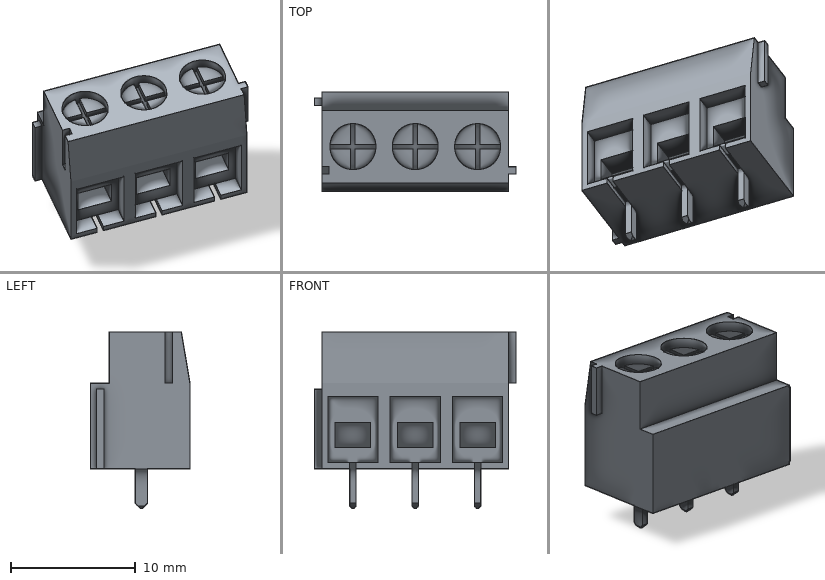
import cadquery as cq


pole_count = 3
pitch = 5.0
body_depth = 8.0
body_height = 11.0
shoulder_height = 6.88
front_slope_run = 0.7
rear_step_depth = 1.5
body_width = pole_count * pitch

overall_width = 16.2
rib_projection = (overall_width - body_width) / 2
rib_thickness = 0.62
front_rib_y = 1.4
rear_rib_y = 6.9
rear_rib_height = 6.4

entry_width = 4.03
entry_height = 5.33
entry_floor = 0.49
entry_depth = 1.35
window_width = 2.85
window_height = 2.0
window_floor = 1.72
window_depth = 2.02

screw_diameter = 3.7
screw_y = 3.61
screw_recess = 0.81
cross_slot_width = 0.37
cross_slot_depth = 0.5

pin_width = 0.53
pin_depth = 1.0
pin_y = 3.9
pin_length = 3.2
tip_side_chamfer = 0.21
tip_face_chamfer = 0.44

pole_centers = [(index + 0.5) * pitch for index in range(pole_count)]


def box(width, depth, height, corner):
    """Box with its lowest X, Y and Z at the given corner."""
    return cq.Workplane("XY").box(width, depth, height, centered=False).translate(corner)


def housing():
    """Side profile with a sloping upper front and a rear step, extruded along X."""
    profile = [
        (0, 0),
        (body_depth, 0),
        (body_depth, shoulder_height),
        (body_depth - rear_step_depth, shoulder_height),
        (body_depth - rear_step_depth, body_height),
        (front_slope_run, body_height),
        (0, shoulder_height),
    ]
    return cq.Workplane("YZ").polyline(profile).close().extrude(body_width)


def front_rib(left_x):
    """Upright bar that serves as the right-hand rib and as the shape of its mating groove."""
    rib_height = body_height - shoulder_height
    return box(rib_projection, rib_thickness, rib_height, (left_x, front_rib_y, shoulder_height))


def rear_rib():
    """Long rib on the left end face, near the back."""
    return box(rib_projection, rib_thickness, rear_rib_height, (-rib_projection, rear_rib_y, 0))


def wire_entry(center_x):
    """Front pocket, the deeper window behind it and the slot in the floor leading to the pin."""
    pocket = box(entry_width, entry_depth, entry_height, (center_x - entry_width / 2, 0, entry_floor))
    window = box(
        window_width,
        entry_depth + window_depth,
        window_height,
        (center_x - window_width / 2, 0, window_floor),
    )
    floor_slot = box(pin_width, pin_y, entry_floor, (center_x - pin_width / 2, 0, 0))
    return pocket.union(window).union(floor_slot)


def screw_recess_with_cross(center_x):
    """Round recess in the top face, deepened only along the cross slot between four screw head quarters."""
    recess_floor = body_height - screw_recess
    cross_floor = recess_floor - cross_slot_depth
    cavity = (
        cq.Workplane("XY")
        .center(center_x, screw_y)
        .workplane(offset=cross_floor)
        .circle(screw_diameter / 2)
        .extrude(body_height - cross_floor)
    )
    quarter_offset = (screw_diameter + cross_slot_width) / 2
    head_quarters = (
        cq.Workplane("XY")
        .center(center_x, screw_y)
        .workplane(offset=cross_floor)
        .rarray(quarter_offset * 2, quarter_offset * 2, 2, 2)
        .rect(screw_diameter, screw_diameter)
        .extrude(cross_slot_depth)
    )
    return cavity.cut(head_quarters)


def pin(center_x):
    """Flat pin from the floor slot's ceiling down to a tip chamfered on all four sides."""
    pin_height = pin_length + entry_floor
    return (
        cq.Workplane("XY")
        .box(pin_width, pin_depth, pin_height, centered=(True, True, False))
        .faces("<Z")
        .edges("|X")
        .chamfer(tip_face_chamfer)
        .faces("<Z")
        .edges("|Y")
        .chamfer(tip_side_chamfer)
        .translate((center_x, pin_y, -pin_length))
    )


result = housing().union(front_rib(body_width)).union(rear_rib()).cut(front_rib(0))
for center_x in pole_centers:
    result = result.cut(wire_entry(center_x)).cut(screw_recess_with_cross(center_x))
    result = result.union(pin(center_x))